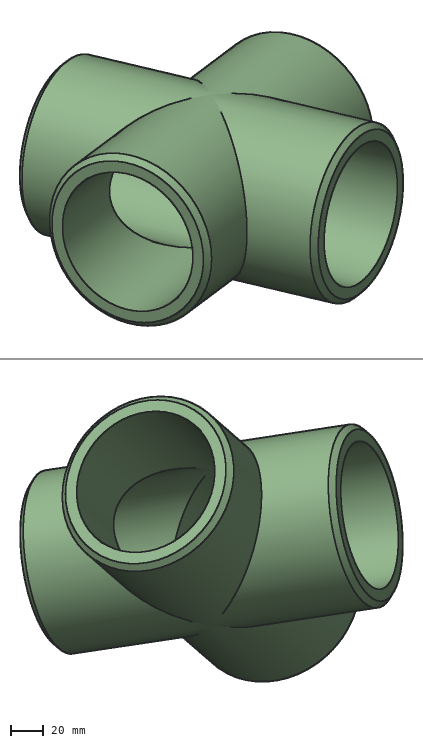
import cadquery as cq

overall_length = 210.0
outer_diameter = 114.0
bore_diameter = 91.8
end_chamfer = 3.7


def centred_cylinder(plane, diameter):
    """Cylinder of the overall length, centred on the origin along the plane normal."""
    return cq.Workplane(plane).circle(diameter / 2).extrude(overall_length / 2, both=True)


def chamfered_pipe_body(plane, end_faces):
    """Solid pipe body with both outer end rims chamfered."""
    return centred_cylinder(plane, outer_diameter).faces(end_faces).chamfer(end_chamfer)


x_body = chamfered_pipe_body("YZ", "<X or >X")
y_body = chamfered_pipe_body("XZ", "<Y or >Y")
cross = x_body.union(y_body)

for bore_plane in ("YZ", "XZ"):
    cross = cross.cut(centred_cylinder(bore_plane, bore_diameter))

result = cross